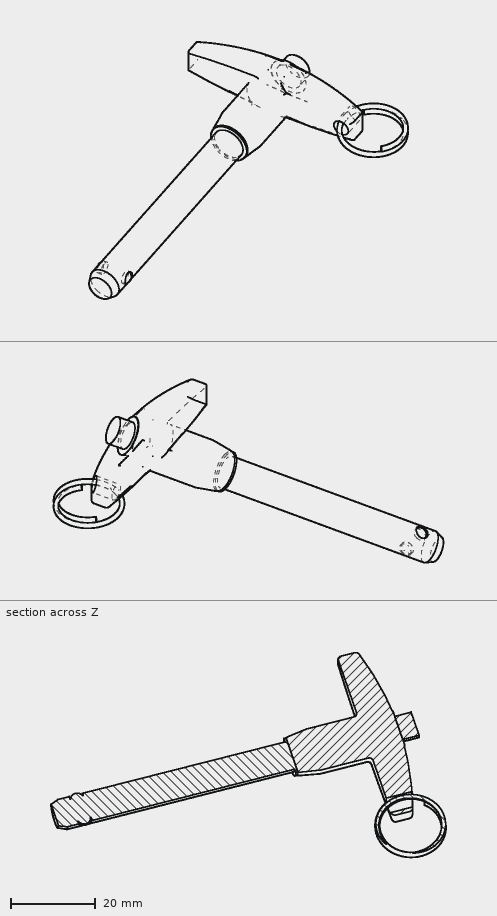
import cadquery as cq
import math


shank_length = 58.0
shank_radius = 4.0
tip_length = 2.0
tip_radius = 3.15
flange_radius = 5.0
flange_thickness = 0.5

ball_radius = 1.6
ball_y = -51.6
ball_projection = 0.45
ball_center_x = shank_radius + ball_projection - ball_radius

hub_radius = 6.0
hub_top = 27.0
nose_radius = 5.2
nose_y = 1.15
cone_top = 6.0
dome_start = 21.5
dome_top_radius = 4.8
dome_mid_radius = 5.76
dome_mid_y = 24.0

wing_half_span = 23.0
wing_bottom = 18.5
wing_half_thickness = 4.95
wing_face_arc_radius = 140.0
wing_top_arc_radius = 79.0
edge_fillet = 1.0
root_fillet = 0.9

hub_blend_radius = 10.0
blend_end = 26.2
blend_crest_z = 5.08
crest_depth = 0.03
blend_side_start_z = 4.94

button_radius = 3.4
button_projection = 4.03

ring_hole_radius = 2.0
ring_hole_x = 19.85
wire_half_width = 0.58
wire_half_height = 0.73
coil_radius = 7.84
coil_pitch = 1.64
coil_turns = 1.5
coil_center_x = 26.43
coil_center_y = 22.0
coil_bottom_z = -1.61
coil_bottom_angle = 137.0

wing_arc_z = wing_half_thickness - wing_face_arc_radius
blend_hub_distance = hub_radius + hub_blend_radius
blend_wing_distance = wing_face_arc_radius + hub_blend_radius
blend_z = (blend_hub_distance**2 - blend_wing_distance**2 + wing_arc_z**2) / (2 * wing_arc_z)
blend_x = math.sqrt(blend_hub_distance**2 - blend_z**2)
hub_contact_x = blend_x * hub_radius / blend_hub_distance
hub_contact_z = blend_z * hub_radius / blend_hub_distance
wing_contact_x = blend_x * wing_face_arc_radius / blend_wing_distance


pick_margin = 0.1


def arc_drop(radius, distance):
    """Fall of a circular arc at a distance from its crown."""
    return radius - math.sqrt(radius**2 - distance**2)


def wing_face_z(x):
    return wing_half_thickness - arc_drop(wing_face_arc_radius, x)


def wing_top_y(x):
    return hub_top - arc_drop(wing_top_arc_radius, x)


def make_wing_plan():
    """Wing outline with square outer corners, from the hub axis to the +X tip."""
    half_span = wing_half_span / 2
    return (
        cq.Workplane("XY")
        .moveTo(0, wing_bottom)
        .lineTo(wing_half_span, wing_bottom)
        .lineTo(wing_half_span, wing_top_y(wing_half_span))
        .threePointArc((half_span, wing_top_y(half_span)), (0, hub_top))
        .close()
        .extrude(hub_radius, both=True)
    )


def make_half_wing():
    """Half of the +X wing above the XY plane, with square edges."""
    half_span = wing_half_span / 2
    section = (
        cq.Workplane("XZ", origin=(0, hub_top, 0))
        .lineTo(wing_half_span, 0)
        .lineTo(wing_half_span, wing_face_z(wing_half_span))
        .threePointArc((half_span, wing_face_z(half_span)), (0, wing_half_thickness))
        .close()
        .extrude(hub_top - wing_bottom)
    )
    return make_wing_plan().intersect(section)


def make_half_blend():
    """Concave web between hub and wing face, sloping down to the wing face near the hub top."""
    blend_mid_x = (hub_contact_x + wing_contact_x) / 2
    blend_mid_z = blend_z - math.sqrt(hub_blend_radius**2 - (blend_x - blend_mid_x) ** 2)
    wing_contact_z = wing_face_z(wing_contact_x)
    web = (
        cq.Workplane("XZ", origin=(0, blend_end, 0))
        .lineTo(wing_contact_x, 0)
        .lineTo(wing_contact_x, wing_contact_z)
        .threePointArc((blend_mid_x, blend_mid_z), (hub_contact_x, hub_contact_z))
        .lineTo(0, hub_contact_z)
        .close()
        .extrude(blend_end - wing_bottom)
    )
    lower_limit = (
        cq.Workplane("XY")
        .box(wing_contact_x, dome_start - wing_bottom, hub_radius, centered=False)
        .translate((0, wing_bottom, 0))
    )
    upper_limit = (
        cq.Workplane("YZ")
        .moveTo(dome_start, 0)
        .lineTo(dome_start, hub_radius - crest_depth)
        .threePointArc((dome_mid_y, dome_mid_radius - crest_depth), (blend_end, blend_crest_z))
        .lineTo(blend_end, 0)
        .close()
        .workplane(offset=wing_contact_x)
        .moveTo(dome_start, 0)
        .lineTo(dome_start, blend_side_start_z)
        .lineTo(blend_end, wing_contact_z)
        .lineTo(blend_end, 0)
        .close()
        .loft(ruled=True)
    )
    return web.intersect(lower_limit.union(upper_limit))


def make_root_fillet(quarter):
    """Concave ring where the flat underside of a wing quarter meets the hub."""
    ring_bottom = wing_bottom - root_fillet
    root_radius = hub_radius + root_fillet
    arc_offset = root_fillet * (1 - math.sqrt(0.5))
    ring = (
        cq.Workplane("XY")
        .moveTo(0, ring_bottom)
        .lineTo(hub_radius, ring_bottom)
        .threePointArc((hub_radius + arc_offset, wing_bottom - arc_offset), (root_radius, wing_bottom))
        .lineTo(0, wing_bottom)
        .close()
        .revolve(360, (0, 0, 0), (0, 1, 0))
    )
    underside = quarter.faces("<Y").val()
    below_wing = cq.Solid.extrudeLinear(underside, cq.Vector(0, -root_fillet, 0))
    return ring.intersect(cq.Workplane(below_wing))


def make_wing_quarter(rounded_underside):
    """The +X, +Z quarter of the wings with rounded long edges, tip corners and root."""
    top_edge = cq.selectors.BoxSelector(
        (0, wing_top_y(wing_half_span), wing_half_thickness / 2),
        (wing_half_span, hub_top, hub_radius),
    )
    wing = make_half_wing().edges("not #Z").edges(top_edge).fillet(edge_fillet)
    quarter = wing.union(make_half_blend())
    if rounded_underside:
        underside_edges = cq.selectors.BoxSelector(
            (0, wing_bottom - pick_margin, wing_half_thickness / 2),
            (wing_half_span - pick_margin, wing_bottom + pick_margin, hub_radius),
        )
        quarter = quarter.edges(underside_edges).fillet(edge_fillet)
    root = make_root_fillet(quarter)
    rounded_plan = make_wing_plan().edges("|Z and >X").fillet(edge_fillet)
    return quarter.intersect(rounded_plan).union(root)


def make_hub():
    """Solid of revolution: tapered nose, straight barrel and domed top."""
    return (
        cq.Workplane("XY")
        .moveTo(0, flange_thickness)
        .lineTo(flange_radius, flange_thickness)
        .lineTo(nose_radius, nose_y)
        .lineTo(hub_radius, cone_top)
        .lineTo(hub_radius, dome_start)
        .threePointArc((dome_mid_radius, dome_mid_y), (dome_top_radius, hub_top))
        .lineTo(0, hub_top)
        .close()
        .revolve(360, (0, 0, 0), (0, 1, 0))
    )


def make_handle():
    """T-handle; the -X, +Z underside edge stays sharp and the +X wing carries the ring hole."""
    round_quarter = make_wing_quarter(rounded_underside=True)
    sharp_quarter = make_wing_quarter(rounded_underside=False)
    right_wing = round_quarter.union(round_quarter.mirror("XY"))
    left_wing = sharp_quarter.union(round_quarter.mirror("XY")).mirror("YZ")

    ring_hole = (
        cq.Workplane("XZ", origin=(ring_hole_x, hub_top, 0))
        .circle(ring_hole_radius)
        .extrude(hub_top - wing_bottom)
    )
    return left_wing.union(right_wing).union(make_hub()).cut(ring_hole)


def make_shank():
    """Flanged shank with a chamfered tip and two locking balls bulging from round seats."""
    shank = (
        cq.Workplane("XY")
        .moveTo(0, flange_thickness)
        .lineTo(flange_radius, flange_thickness)
        .lineTo(flange_radius, 0)
        .lineTo(shank_radius, 0)
        .lineTo(shank_radius, tip_length - shank_length)
        .lineTo(tip_radius, -shank_length)
        .lineTo(0, -shank_length)
        .close()
        .revolve(360, (0, 0, 0), (0, 1, 0))
    )
    ball_seat = (
        cq.Workplane("YZ", origin=(ball_center_x, ball_y, 0))
        .circle(ball_radius)
        .extrude(shank_radius)
    )
    ball = cq.Workplane("XY").sphere(ball_radius).translate((ball_center_x, ball_y, 0))
    for seat, locking_ball in ((ball_seat, ball), (ball_seat.mirror("YZ"), ball.mirror("YZ"))):
        shank = shank.cut(seat).union(locking_ball)
    return shank


def make_button():
    """Release button standing on the hub top."""
    return (
        cq.Workplane("XZ", origin=(0, hub_top + button_projection, 0))
        .circle(button_radius)
        .extrude(button_projection)
    )


def make_split_ring():
    """Oval wire wound downward, counterclockwise seen from +Z, with its ends left square."""
    coil_path = cq.Wire.makeHelix(coil_pitch, coil_turns * coil_pitch, coil_radius, lefthand=True)
    wire = (
        cq.Workplane("XZ", origin=(coil_radius, 0, 0))
        .ellipse(wire_half_width, wire_half_height)
        .sweep(cq.Workplane(coil_path), isFrenet=True)
    )
    return wire.rotate((0, 0, 0), (0, 0, 1), coil_bottom_angle).translate(
        (coil_center_x, coil_center_y, coil_bottom_z)
    )


handle = make_handle()
shank = make_shank()
button = make_button()
split_ring = make_split_ring()

result = cq.Compound.makeCompound([handle.val(), shank.val(), button.val(), split_ring.val()])